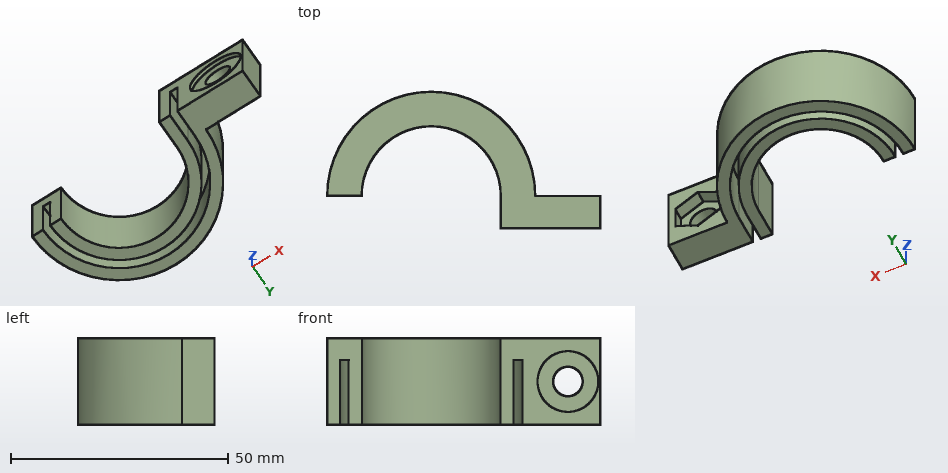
import cadquery as cq
import math

height = 20.0
bore_radius = 16.0
wall = 8.0
outer_radius = bore_radius + wall

tab_reach = 15.0
tab_thickness = 7.5
tab_end = outer_radius + tab_reach

groove_width = 2.0
groove_depth = 15.0
groove_center_radius = bore_radius + wall / 2
groove_inner_radius = groove_center_radius - groove_width / 2
groove_outer_radius = groove_center_radius + groove_width / 2

hole_diameter = 6.75
counterbore_diameter = 14.0
counterbore_depth = 1.0
nut_sides = 6
nut_across_flats = 11.5
nut_across_corners = nut_across_flats / math.cos(math.pi / nut_sides)
nut_turn = 180 / nut_sides
nut_pocket_depth = 3.0
hole_x = outer_radius + tab_reach / 2
hole_z = height / 2


def half_ring(inner_radius, ring_radius, ring_height):
    """Half ring on the +Y side of the origin, standing on Z = 0."""
    return (
        cq.Workplane("XY")
        .moveTo(-ring_radius, 0)
        .threePointArc((0, ring_radius), (ring_radius, 0))
        .lineTo(inner_radius, 0)
        .threePointArc((0, inner_radius), (-inner_radius, 0))
        .close()
        .extrude(ring_height)
    )


def leg(x_start, x_end, leg_height):
    """Block on the -Y side of the ring end, as deep as the tab is thick."""
    return (
        cq.Workplane("XY")
        .moveTo(x_start, -tab_thickness)
        .lineTo(x_end, -tab_thickness)
        .lineTo(x_end, 0)
        .lineTo(x_start, 0)
        .close()
        .extrude(leg_height)
    )


def clip_body():
    """Half ring joined to its mounting tab."""
    return half_ring(bore_radius, outer_radius, height).union(leg(bore_radius, tab_end, height))


def groove():
    """Arc through the ring, continued straight through the tab."""
    arc = half_ring(groove_inner_radius, groove_outer_radius, groove_depth)
    return arc.union(leg(groove_inner_radius, groove_outer_radius, groove_depth))


def screw_hole():
    """Through hole along Y with a shallow counterbore in the -Y face of the tab."""
    front_face = cq.Workplane("XZ", origin=(hole_x, -tab_thickness, hole_z))
    shank = front_face.circle(hole_diameter / 2).extrude(-tab_thickness)
    head = front_face.circle(counterbore_diameter / 2).extrude(-counterbore_depth)
    return shank.union(head)


def nut_pocket():
    """Hexagonal pocket in the +Y face of the tab, with two corners on the vertical axis."""
    back_face = cq.Workplane("XZ", origin=(hole_x, 0, hole_z))
    corner_up = back_face.transformed(rotate=(0, 0, nut_turn))
    return corner_up.polygon(nut_sides, nut_across_corners).extrude(nut_pocket_depth)


result = clip_body().cut(groove()).cut(screw_hole()).cut(nut_pocket())